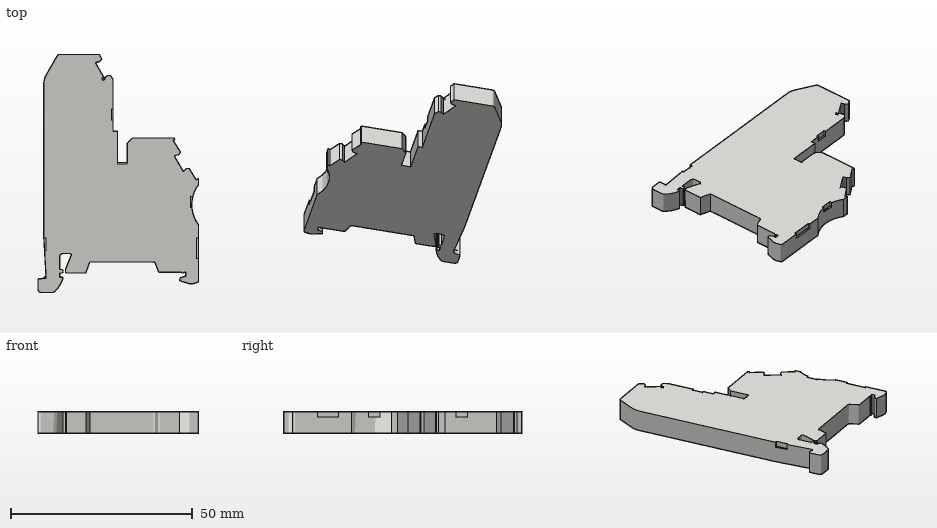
import cadquery as cq

LENGTH = 65.6
WIDTH = 44.2
THICKNESS = 6.0

TOWER_LEFT = 1.6
TOWER_RIGHT = 20.7
TOWER_BEVEL_X = 5.5
TOWER_BEVEL_Y = 58.75
TOWER_BEVEL_BLEND = 5.05
TOWER_TOP_BLEND = 1.05
TOWER_TOP_RIGHT = 16.9
TOWER_RIGHT_TOP = 58.6

STEP_Y = 44.45
SLOT_LEFT = 21.9
SLOT_RIGHT = 24.5
SLOT_FLOOR = 35.9
SLOT_CHAMFER = 0.45

BLOCK_TOP = 42.55
BLOCK_BEVEL = 1.45
BLOCK_TOP_RIGHT = 37.5
FINGER_TOP = 29.7
FINGER_BOTTOM = 18.7
FINGER_DEPTH = 1.85

TOWER_NOTCH_TIP = (17.6, 64.3)
BLOCK_NOTCH_TIP = (39.3, 38.6)
NOTCH_SHAPE = [
    (2.35, -4.45),
    (1.6, -4.45),
    (0.7, -5.25),
    (-1.7, -1.05),
    (-1.2, -0.8),
    (-0.65, -0.8),
    (0.0, 0.0),
]

RELIEF_SIZE = 0.65
RELIEF_DEPTH = 1.5

RAIL_TOP = 8.4
LEFT_PAD = 5.4
RIGHT_PAD = 5.6
RAIL_SEAT_RIGHT = 32.2
PAD_LEFT = 33.2
HOOK_INNER_X = 40.65
HOOK_ROUND = 0.65
HOOK_ROUND_START = 2.7
RAIL_SEAT_BLEND = 0.6

FOOT_TOP = 3.9
FOOT_CORNER = 0.9
FOOT_SHOULDER = 0.45
LEG_LEFT = 2.2
LEG_RIGHT = 6.05
LEG_KNEE_Y = 15.2
GUSSET_SIZE = 1.4
GUSSET_HEIGHT = 1.4

RECESS_DEPTH = 1.5
EDGE_RECESSES = [
    (0.0, 2.2, 11.6, 15.1),
    (20.2, 21.3, 47.5, 50.55),
    (42.0, 43.3, 23.4, 26.5),
    (43.7, 44.9, 9.4, 15.1),
]


def marker_notch(tip):
    """Outline points of a marker notch whose upper lip ends at `tip`."""
    return [(tip[0] + dx, tip[1] + dy) for dx, dy in NOTCH_SHAPE]


def through_lines(path, points):
    for point in points:
        path = path.lineTo(*point)
    return path


def foot_and_leg(path):
    """Right side of the spring foot, up its leg to the relief gap."""
    path = path.lineTo(3.95, 0.0).tangentArcPoint((4.8, 0.45), relative=False)
    path = path.threePointArc((5.9, 1.8), (6.7, 3.3))
    return through_lines(path, [
        (6.95, 4.05),
        (6.75, 4.25),
        (LEG_RIGHT, 4.25),
        (LEG_RIGHT, LEFT_PAD),
        (6.7, LEFT_PAD),
        (6.95, 5.7),
        (6.95, 6.1),
        (6.7, 6.35),
        (LEG_RIGHT, 6.4),
    ])


def relief_gap(path):
    """Slanted gap that frees the spring leg from the body."""
    path = path.lineTo(LEG_RIGHT, 9.9).threePointArc((6.3, 10.5), (6.9, 10.75))
    path = path.lineTo(8.7, 10.75).threePointArc((9.05, 10.6), (9.1, 10.2))
    return through_lines(path, [(7.55, 6.35), (7.55, 5.65), (7.8, LEFT_PAD)])


def rail_side(path):
    """Rail seat between the two pads, then the fixed hook."""
    path = through_lines(path, [
        (13.2, LEFT_PAD),
        (14.3, RAIL_TOP),
        (RAIL_SEAT_RIGHT, RAIL_TOP),
        (PAD_LEFT, RIGHT_PAD),
        (39.5, RIGHT_PAD),
        (39.6, 5.4),
        (40.0, 5.4),
        (40.15, RIGHT_PAD),
        (HOOK_INNER_X, RIGHT_PAD),
        (HOOK_INNER_X, 4.6),
        (39.1, 4.05),
        (38.95, 3.3),
        (41.4, 2.5),
        (41.85, 2.4),
        (42.7, 2.4),
        (WIDTH - HOOK_ROUND, HOOK_ROUND_START),
    ])
    return path.radiusArc((WIDTH, HOOK_ROUND_START + HOOK_ROUND), -HOOK_ROUND)


def block_edge(path):
    """Right edge and top of the lower block, ending at the slot."""
    finger_middle = (WIDTH - FINGER_DEPTH, (FINGER_TOP + FINGER_BOTTOM) / 2)
    path = path.lineTo(WIDTH, FINGER_BOTTOM)
    path = path.threePointArc(finger_middle, (WIDTH, FINGER_TOP))
    path = through_lines(path, [(WIDTH, 31.35), (43.55, 31.1)])
    path = through_lines(path, marker_notch(BLOCK_NOTCH_TIP))
    return through_lines(path, [
        (37.25, 41.85),
        (37.7, 42.1),
        (BLOCK_TOP_RIGHT, BLOCK_TOP),
        (SLOT_RIGHT + BLOCK_BEVEL, BLOCK_TOP),
        (SLOT_RIGHT, BLOCK_TOP - BLOCK_BEVEL),
    ])


def tower_edge(path):
    """Slot, tower and the left wall down to the spring foot."""
    path = through_lines(path, [
        (SLOT_RIGHT, SLOT_FLOOR),
        (SLOT_LEFT, SLOT_FLOOR),
        (SLOT_LEFT, STEP_Y),
        (TOWER_RIGHT, STEP_Y),
        (TOWER_RIGHT, TOWER_RIGHT_TOP),
    ])
    path = through_lines(path, marker_notch(TOWER_NOTCH_TIP))
    return through_lines(path, [
        (TOWER_TOP_RIGHT, LENGTH),
        (TOWER_BEVEL_X, LENGTH),
        (TOWER_LEFT, TOWER_BEVEL_Y),
        (TOWER_LEFT, LEG_KNEE_Y),
        (LEG_LEFT, FOOT_TOP),
        (0.0, FOOT_TOP),
    ])


def body():
    path = cq.Workplane("XY").moveTo(0.0, 0.0)
    for section in (foot_and_leg, relief_gap, rail_side, block_edge, tower_edge):
        path = section(path)
    return path.close().extrude(THICKNESS)


def upright_edge(x, y):
    return cq.selectors.NearestToPointSelector((x, y, THICKNESS / 2))


def round_corners(part):
    corners = [
        (0.0, 0.0, FOOT_CORNER),
        (0.0, FOOT_TOP, FOOT_SHOULDER),
        (RAIL_SEAT_RIGHT, RAIL_TOP, RAIL_SEAT_BLEND),
        (PAD_LEFT, RIGHT_PAD, RAIL_SEAT_BLEND),
        (TOWER_LEFT, TOWER_BEVEL_Y, TOWER_BEVEL_BLEND),
        (TOWER_BEVEL_X, LENGTH, TOWER_TOP_BLEND),
    ]
    for x, y, radius in corners:
        part = part.edges("|Z").edges(upright_edge(x, y)).fillet(radius)
    return part


def edge_recess(left, right, bottom, top):
    return (
        cq.Workplane("XY", origin=(0, 0, THICKNESS - RECESS_DEPTH))
        .moveTo(left, bottom)
        .lineTo(right, bottom)
        .lineTo(right, top)
        .lineTo(left, top)
        .close()
        .extrude(RECESS_DEPTH)
    )


def slot_chamfer():
    """Wedge that bevels the edge between the slot floor and the top face."""
    return (
        cq.Workplane("YZ", origin=(SLOT_LEFT, 0, 0))
        .moveTo(SLOT_FLOOR, THICKNESS)
        .lineTo(SLOT_FLOOR - SLOT_CHAMFER, THICKNESS)
        .lineTo(SLOT_FLOOR, THICKNESS - SLOT_CHAMFER)
        .close()
        .extrude(SLOT_RIGHT - SLOT_LEFT)
    )


def foot_gusset():
    """Concave web in the corner between the leg and the foot."""
    bend = GUSSET_SIZE * (1 - 0.5**0.5)
    return (
        cq.Workplane("XY")
        .moveTo(LEG_LEFT, FOOT_TOP)
        .lineTo(LEG_LEFT, FOOT_TOP + GUSSET_SIZE)
        .threePointArc(
            (LEG_LEFT - bend, FOOT_TOP + bend),
            (LEG_LEFT - GUSSET_SIZE, FOOT_TOP),
        )
        .close()
        .extrude(GUSSET_HEIGHT)
    )


def notch_relief():
    """Small undercut at the root of the tower notch, its floor a ramp rising outward."""
    root_dx, root_dy = NOTCH_SHAPE[2]
    inner_dx, inner_dy = NOTCH_SHAPE[3]
    along = cq.Vector(root_dx - inner_dx, root_dy - inner_dy, 0).normalized()
    root = cq.Vector(TOWER_NOTCH_TIP[0] + root_dx, TOWER_NOTCH_TIP[1] + root_dy, THICKNESS)
    across = cq.Vector(along.y, -along.x, 0)
    ramp_plane = cq.Plane(origin=root - along * (RELIEF_SIZE / 2), xDir=across, normal=along)
    return (
        cq.Workplane(ramp_plane)
        .lineTo(RELIEF_SIZE, 0)
        .lineTo(RELIEF_SIZE, -RELIEF_DEPTH * ramp_plane.yDir.z)
        .close()
        .extrude(RELIEF_SIZE)
    )


result = round_corners(body())
for recess in EDGE_RECESSES:
    result = result.cut(edge_recess(*recess))
result = result.cut(slot_chamfer()).union(foot_gusset())
result = result.cut(notch_relief())